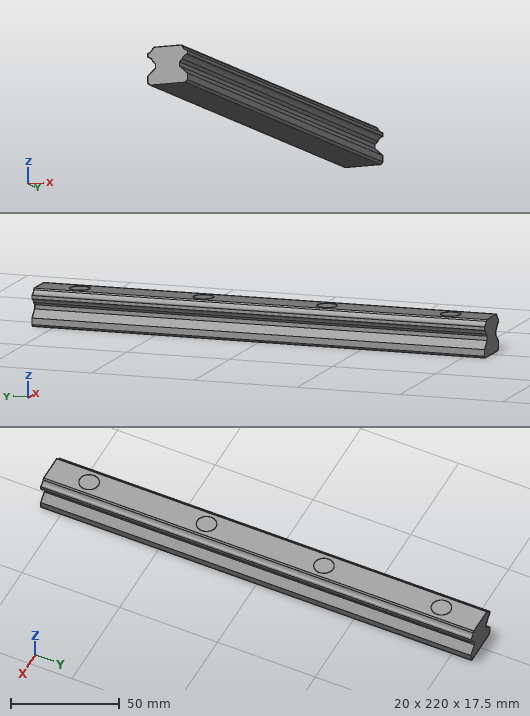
import cadquery as cq

length = 220.0
width = 20.0
height = 17.5
half_width = width / 2

top_half_width = 6.8
lip_width = 0.55
lip_drop = 0.2
upper_raceway_end = 2.6
lower_raceway_start = 4.6
raceway_span = 2.0
raceway_radius = 3.5
neck_half_width = 6.2
neck_top = 8.0
neck_bottom = 10.0
flank_end = 13.5
base_bevel = 1.0

hole_count = 4
hole_pitch = 60.0
hole_diameter = 9.5
recess_depth = 0.1


def section_profile():
    """Full rail section on the XZ plane, from its right half mirrored to the left."""
    raceway_outer = half_width - lip_width
    raceway_inner = raceway_outer - raceway_span

    right_half = (
        cq.Workplane("XZ", origin=(0, length / 2, 0))
        .moveTo(0, height)
        .lineTo(top_half_width, height)
        .lineTo(raceway_inner, height - upper_raceway_end + raceway_span)
        .radiusArc((raceway_outer, height - upper_raceway_end), -raceway_radius)
        .lineTo(half_width, height - upper_raceway_end - lip_drop)
        .lineTo(half_width, height - lower_raceway_start + lip_drop)
        .lineTo(raceway_outer, height - lower_raceway_start)
        .radiusArc((raceway_inner, height - lower_raceway_start - raceway_span), -raceway_radius)
        .lineTo(neck_half_width, height - neck_top)
        .lineTo(neck_half_width, height - neck_bottom)
        .lineTo(half_width, height - flank_end)
        .lineTo(half_width, base_bevel)
        .lineTo(half_width - base_bevel, 0)
        .lineTo(0, 0)
    )
    return right_half.mirrorY()


rail = section_profile().extrude(length)

hole_points = [(0, (i - (hole_count - 1) / 2) * hole_pitch) for i in range(hole_count)]
recesses = (
    cq.Workplane("XY", origin=(0, 0, height - recess_depth))
    .pushPoints(hole_points)
    .circle(hole_diameter / 2)
    .extrude(2 * recess_depth)
)
result = rail.cut(recesses).clean()